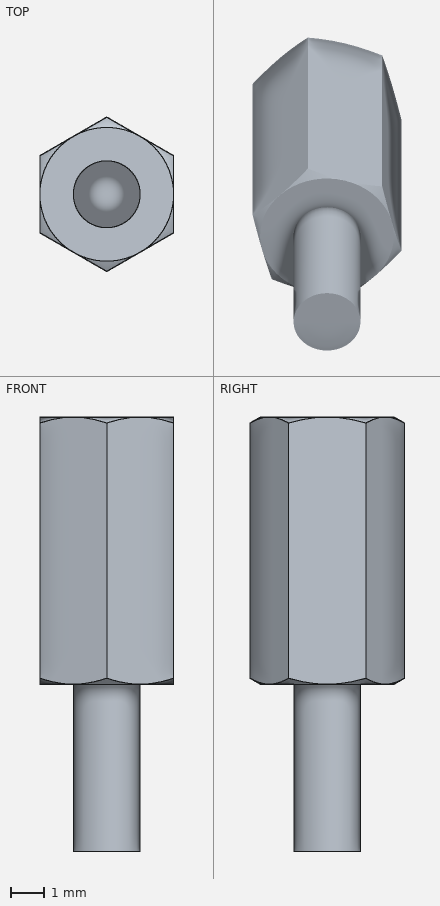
import cadquery as cq
import math

total_length = 13.0
stud_length = 5.0
across_flats = 4.0
thread_diameter = 2.0
chamfer_angle = 30.0

hex_length = total_length - stud_length
across_corners = across_flats / math.cos(math.radians(30))
flat_radius = across_flats / 2
corner_radius = across_corners / 2
chamfer_height = (corner_radius - flat_radius) * math.tan(math.radians(chamfer_angle))
socket_depth = stud_length


def make_chamfer_envelope():
    """Round bar with coned ends that trims the corners of the hexagon."""
    return (
        cq.Workplane("XZ")
        .moveTo(0, 0)
        .lineTo(flat_radius, 0)
        .lineTo(corner_radius, chamfer_height)
        .lineTo(corner_radius, hex_length - chamfer_height)
        .lineTo(flat_radius, hex_length)
        .lineTo(0, hex_length)
        .close()
        .revolve(360, (0, 0, 0), (0, 1, 0))
    )


def make_hex_spacer():
    """Hexagonal body with corners on the Y axis and a blind socket in its top."""
    hexagon = (
        cq.Workplane("XY")
        .transformed(rotate=(0, 0, 90))
        .polygon(6, across_corners)
        .extrude(hex_length)
    )
    socket = (
        cq.Workplane("XY")
        .workplane(offset=hex_length - socket_depth)
        .circle(thread_diameter / 2)
        .extrude(socket_depth)
    )
    return hexagon.intersect(make_chamfer_envelope()).cut(socket)


def make_stud():
    """Plain round stud that meets the bottom face of the spacer at Z = 0."""
    return cq.Workplane("XY").circle(thread_diameter / 2).extrude(-stud_length)


hex_spacer = make_hex_spacer()
stud = make_stud()

result = cq.Compound.makeCompound([hex_spacer.val(), stud.val()])